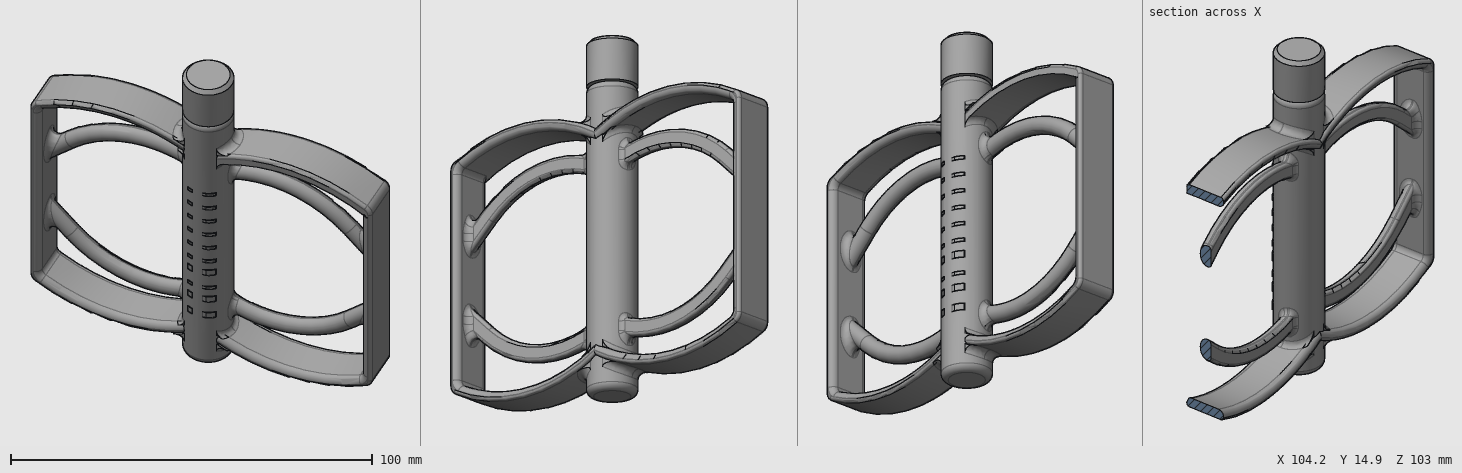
import cadquery as cq
import math

POST_RADIUS = 7.14
POST_HEIGHT = 90.0
POST_END_FILLET = 2.0
CAP_HEIGHT = 13.0
CAP_CHAMFER = 1.1

FRAME_HALF_WIDTH = 52.1
FRAME_MID_Z = 43.2
FRAME_PEAK_Z = 83.1
BOW_RADIUS = 52.0
BAND_THICKNESS = 3.0
BAND_Y = (-5.2, 7.8)
CORNER_RADIUS = 3.0
INNER_CORNER_RADIUS = 2.0
OUTER_EDGE_FILLET = 1.0
RIM_FILLET = 1.9
BAND_ROOT_FILLET = 2.0
BAND_ROOT_REACH = 3.0
BAND_ROOT_HALF_DEPTH = 6.8

BAR_RADIUS = 2.53
BAR_CENTER_Y = 2.0
BAR_BACK_Y = 3.4
BAR_BACK_FILLET = 1.0
BAR_PEAK_X = 18.3
BAR_PEAK_Z = 70.0
BAR_ARC_RADIUS = 35.5
BAR_END_ANGLE = math.radians(43)
BAR_ROOT_FILLET = 2.0

PAD_PITCH = 5.0
TOP_PAD_Z = 64.4
SHORT_PAD_ROWS = (0, 1, 2, 3, 4, 5, 7)
SHORT_PAD_HEIGHT = 1.0
TALL_PAD_Z = (35.1, 25.1, 19.1)
TALL_PAD_HEIGHT = 2.0
LEFT_PAD_X = (-3.3, -1.6)
LEFT_PAD_RADIUS = 7.28
RIGHT_PAD_X = (1.5, 4.9)
RIGHT_PAD_RADIUS = 7.45

BOW_CENTER_X = FRAME_HALF_WIDTH / 2
BOW_CENTER_Z = FRAME_PEAK_Z - BOW_RADIUS
OPENING_RADIUS = BOW_RADIUS - BAND_THICKNESS
WALL_INNER_X = FRAME_HALF_WIDTH - BAND_THICKNESS
TOLERANCE = 0.01


def box(x_range, y_range, z_range):
    """Axis-aligned block given by its limits."""
    low_corner = (x_range[0], y_range[0], z_range[0])
    size = [high - low for low, high in (x_range, y_range, z_range)]
    return cq.Workplane("XY").box(*size, centered=False).translate(low_corner)


def flip(z):
    """Height mirrored about the middle of the frame."""
    return 2 * FRAME_MID_Z - z


def arc_height(x, center_x, center_z, radius):
    """Height of the upper half of a circle at position x."""
    return center_z + math.sqrt(radius ** 2 - (x - center_x) ** 2)


def bow_height(x, radius):
    """Height of the upper bow arc of the given radius at position x."""
    return arc_height(x, BOW_CENTER_X, BOW_CENTER_Z, radius)


def cylinder(radius):
    """Plain cylinder on the post axis, as tall as the shaft."""
    return cq.Workplane("XY").circle(radius).extrude(POST_HEIGHT)


def make_post():
    """Round-ended shaft with a chamfered cap."""
    shaft = cylinder(POST_RADIUS).edges("%CIRCLE").fillet(POST_END_FILLET)
    cap = cq.Workplane("XY", origin=(0, 0, POST_HEIGHT)).circle(POST_RADIUS).extrude(CAP_HEIGHT)
    return shaft.union(cap.faces(">Z").chamfer(CAP_CHAMFER))


def bow_prism(radius, outer_x, y_range):
    """Solid between the upper and lower bow arcs, from the post axis to outer_x."""
    peak_z = BOW_CENTER_Z + radius
    inner_z = bow_height(0, radius)
    outer_z = bow_height(outer_x, radius)
    return (
        cq.Workplane("XZ", origin=(0, y_range[1], 0))
        .moveTo(0, inner_z)
        .threePointArc((BOW_CENTER_X, peak_z), (outer_x, outer_z))
        .lineTo(outer_x, flip(outer_z))
        .threePointArc((BOW_CENTER_X, flip(peak_z)), (0, flip(inner_z)))
        .close()
        .extrude(y_range[1] - y_range[0])
    )


def bow_outer(y_range):
    """Outer envelope of the right-hand frame with rounded corners."""
    prism = bow_prism(BOW_RADIUS, FRAME_HALF_WIDTH, y_range)
    return prism.edges("|Y and >X").fillet(CORNER_RADIUS)


def bow_opening(y_range):
    """Space enclosed by the right-hand frame."""
    prism = bow_prism(OPENING_RADIUS, WALL_INNER_X, y_range)
    return prism.edges("|Y and >X").fillet(INNER_CORNER_RADIUS)


def on_opening_rim(edge):
    """True for an edge that runs along the rim of the frame opening."""
    middle = edge.positionAt(0.5)
    if not TOLERANCE < middle.x < WALL_INNER_X + TOLERANCE:
        return False
    limit = bow_height(middle.x, OPENING_RADIUS) + TOLERANCE
    return flip(limit) < middle.z < limit


def round_opening_rim(frame, face):
    """Round the rim of the frame opening on one face of the band."""
    rim = [edge for edge in frame.faces(face).edges().vals() if on_opening_rim(edge)]
    return frame.newObject(rim).fillet(RIM_FILLET)


def make_frame():
    """Right-hand frame with its outer edges and the rims of its opening rounded."""
    outer = bow_outer(BAND_Y).faces("<Y or >Y").edges("not(<X)").fillet(OUTER_EDGE_FILLET)
    frame = outer.cut(bow_opening(BAND_Y))
    frame = round_opening_rim(frame, "<Y")
    return round_opening_rim(frame, ">Y")


def make_square_rim():
    """Strip that keeps the front inner edge of the upper right arm square."""
    y_range = (BAND_Y[0], BAND_Y[0] + RIM_FILLET)
    outer_x = FRAME_HALF_WIDTH - OUTER_EDGE_FILLET
    strip = bow_prism(BOW_RADIUS - OUTER_EDGE_FILLET, outer_x, y_range)
    strip = strip.edges("|Y and >X").fillet(CORNER_RADIUS - OUTER_EDGE_FILLET)
    strip = strip.cut(bow_prism(OPENING_RADIUS, FRAME_HALF_WIDTH, y_range))
    return strip.intersect(box((0, outer_x), y_range, (FRAME_MID_Z, FRAME_PEAK_Z)))


def on_post(edge):
    """True for a curved edge on the post's surface, right of the post axis."""
    points = [edge.positionAt(t) for t in (0.1, 0.4, 0.8)]
    touching = all(abs(math.hypot(p.x, p.y) - POST_RADIUS) < TOLERANCE for p in points)
    inside_ends = 0 < points[0].z < POST_HEIGHT
    return touching and inside_ends and edge.geomType() != "LINE" and points[0].x > 0


def on_wall(edge):
    """True for a curved edge on the inner face of the frame's upright wall."""
    points = [edge.positionAt(t) for t in (0.1, 0.4, 0.8)]
    touching = all(abs(p.x - WALL_INNER_X) < TOLERANCE for p in points)
    return touching and BAND_Y[0] < points[0].y < BAND_Y[1] and 0 < points[0].z < POST_HEIGHT


def fillet_where(body, test, radius):
    """Fillet every edge of the body that passes the test."""
    return body.newObject([edge for edge in body.edges().vals() if test(edge)]).fillet(radius)


def make_band_flares():
    """Concave flares where the arms of the right-hand frame meet the post."""
    y_range = (-BAND_ROOT_HALF_DEPTH, BAND_ROOT_HALF_DEPTH)
    band = bow_outer(y_range).cut(bow_opening(y_range))
    flared = fillet_where(cylinder(POST_RADIUS).union(band), on_post, BAND_ROOT_FILLET)
    z_range = (POST_END_FILLET, POST_HEIGHT - POST_END_FILLET)
    near_post = box((0, POST_RADIUS + BAND_ROOT_REACH), BAND_Y, z_range)
    return flared.intersect(near_post).cut(band)


def bar_path():
    """Arc rising from the post axis over the peak, then a straight run into the wall."""
    center_z = BAR_PEAK_Z - BAR_ARC_RADIUS
    start_z = arc_height(0, BAR_PEAK_X, center_z, BAR_ARC_RADIUS)
    arc_end_x = BAR_PEAK_X + BAR_ARC_RADIUS * math.sin(BAR_END_ANGLE)
    arc_end_z = center_z + BAR_ARC_RADIUS * math.cos(BAR_END_ANGLE)
    end_x = FRAME_HALF_WIDTH + BAND_THICKNESS
    end_z = arc_end_z - (end_x - arc_end_x) * math.tan(BAR_END_ANGLE)
    return (
        cq.Workplane("XZ", origin=(0, BAR_CENTER_Y, 0))
        .moveTo(0, start_z)
        .threePointArc((BAR_PEAK_X, BAR_PEAK_Z), (arc_end_x, arc_end_z))
        .lineTo(end_x, end_z)
    )


def bar_section():
    """Bar outline square to the start of its path: local x runs along Y."""
    start_angle = math.asin(BAR_PEAK_X / BAR_ARC_RADIUS)
    start_z = arc_height(0, BAR_PEAK_X, BAR_PEAK_Z - BAR_ARC_RADIUS, BAR_ARC_RADIUS)
    normal = (math.cos(start_angle), 0, math.sin(start_angle))
    back = BAR_BACK_Y - BAR_CENTER_Y
    return (
        cq.Workplane(cq.Plane((0, BAR_CENTER_Y, start_z), (0, 1, 0), normal))
        .moveTo(0, BAR_RADIUS)
        .threePointArc((-BAR_RADIUS, 0), (0, -BAR_RADIUS))
        .lineTo(back - BAR_BACK_FILLET, -BAR_RADIUS)
        .radiusArc((back, BAR_BACK_FILLET - BAR_RADIUS), -BAR_BACK_FILLET)
        .lineTo(back, BAR_RADIUS - BAR_BACK_FILLET)
        .radiusArc((back - BAR_BACK_FILLET, BAR_RADIUS), -BAR_BACK_FILLET)
        .close()
    )


def make_bar():
    """Upper right bar, flared where it meets the post and the frame wall."""
    upper_half = (FRAME_MID_Z, BAR_PEAK_Z + BAR_RADIUS + 2 * BAR_ROOT_FILLET)
    bar = bar_section().sweep(bar_path())
    bar = bar.intersect(box((0, FRAME_HALF_WIDTH - OUTER_EDGE_FILLET), BAND_Y, (0, POST_HEIGHT)))
    wall = box((WALL_INNER_X, FRAME_HALF_WIDTH), BAND_Y, (0, POST_HEIGHT))
    joined = cylinder(POST_RADIUS).union(wall).union(bar)
    joined = fillet_where(joined, on_post, BAR_ROOT_FILLET)
    joined = fillet_where(joined, on_wall, BAR_ROOT_FILLET)
    return joined.intersect(box((0, WALL_INNER_X), BAND_Y, upper_half))


def pad_rows():
    """Centre height and height of every row of pads."""
    short_rows = [(TOP_PAD_Z - PAD_PITCH * row, SHORT_PAD_HEIGHT) for row in SHORT_PAD_ROWS]
    return short_rows + [(z, TALL_PAD_HEIGHT) for z in TALL_PAD_Z]


def make_pad_column(x_range, radius, front_y):
    """Pads curved to the given radius, cut off flat at front_y."""
    column = cq.Workplane("XY")
    barrel = cylinder(radius)
    for z, height in pad_rows():
        pad = box(x_range, (front_y, 0), (z - height / 2, z + height / 2))
        column = column.union(pad.intersect(barrel))
    return column


bar = make_bar()
lower_bar = bar.mirror("XY", (0, 0, FRAME_MID_Z))
right_pad_front_y = -math.sqrt(POST_RADIUS ** 2 - RIGHT_PAD_X[0] ** 2)

result = make_post()
for right_part in (make_band_flares(), bar, lower_bar, make_frame()):
    result = result.union(right_part).union(right_part.mirror("YZ"))
result = (
    result.union(make_square_rim())
    .union(make_pad_column(LEFT_PAD_X, LEFT_PAD_RADIUS, -POST_RADIUS))
    .union(make_pad_column(RIGHT_PAD_X, RIGHT_PAD_RADIUS, right_pad_front_y))
)